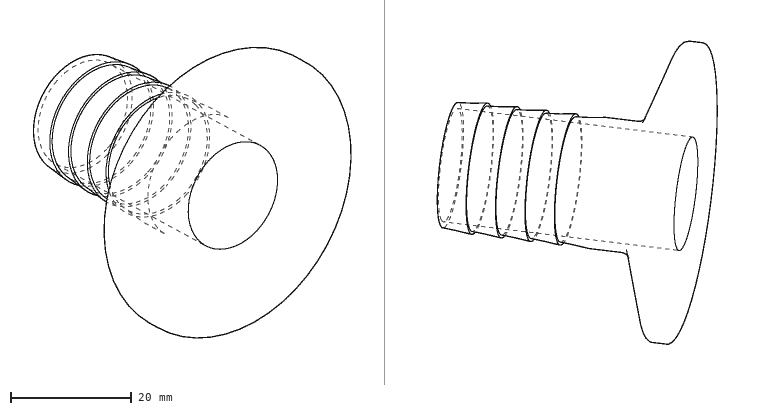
import cadquery as cq
import math

length = 40.0
flange_radius = 25.25
bore_radius = 9.5

barb_count = 5
barb_pitch = 5.0
barb_root_radius = 10.5
neck_radius = 11.0

cone_tilt = math.radians(20)
neck_fillet = 2.0
rim_fillet = 0.75
rim_width = 2.4
face_fillet = 0.25

face_x = length / 2
hose_end_x = -face_x
rim_start_x = face_x - rim_width


def arc_point(center, radius, angle):
    """Point on a circle, with the angle measured from the radial direction towards +X."""
    return (center[0] + radius * math.sin(angle), center[1] + radius * math.cos(angle))


turn = math.pi / 2 - cone_tilt
rim_center = (rim_start_x, flange_radius - rim_fillet)
cone_end = arc_point(rim_center, rim_fillet, -turn)
rim_arc_middle = arc_point(rim_center, rim_fillet, -turn / 2)

fillet_center_r = neck_radius + neck_fillet
cone_start_r = fillet_center_r - neck_fillet * math.cos(turn)
cone_start_x = cone_end[0] - (cone_end[1] - cone_start_r) * math.tan(cone_tilt)
fillet_center = (cone_start_x - neck_fillet * math.sin(turn), fillet_center_r)
neck_end = arc_point(fillet_center, neck_fillet, math.pi)
fillet_arc_middle = arc_point(fillet_center, neck_fillet, math.pi - turn / 2)

face_center = (face_x - face_fillet, flange_radius - face_fillet)
face_arc_middle = arc_point(face_center, face_fillet, math.pi / 4)

profile = cq.Workplane("XZ").moveTo(hose_end_x, bore_radius)
for barb in range(barb_count):
    barb_x = hose_end_x + barb * barb_pitch
    profile = profile.lineTo(barb_x, barb_root_radius).lineTo(barb_x + barb_pitch, neck_radius)

profile = (
    profile.lineTo(*neck_end)
    .threePointArc(fillet_arc_middle, (cone_start_x, cone_start_r))
    .lineTo(*cone_end)
    .threePointArc(rim_arc_middle, (rim_start_x, flange_radius))
    .lineTo(face_center[0], flange_radius)
    .threePointArc(face_arc_middle, (face_x, face_center[1]))
    .lineTo(face_x, bore_radius)
    .close()
)

result = profile.revolve(360, (0, 0, 0), (1, 0, 0))